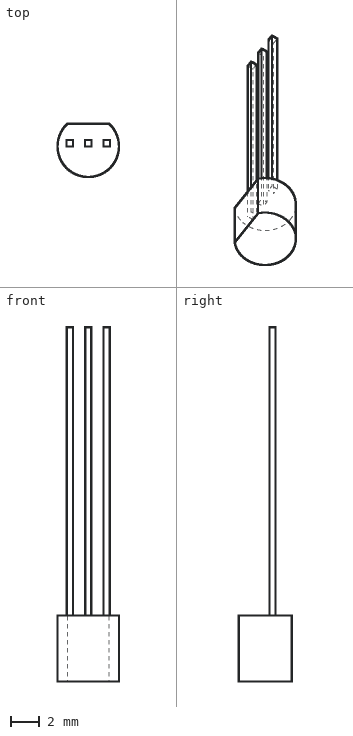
import cadquery as cq

total_height = 24.58
body_height = 4.6
body_radius = 2.15
body_depth = 3.7
lead_width = 0.45
lead_pitch = 1.28
lead_count = 3
lead_offset_y = 0.22

flat_y = body_depth - body_radius
lead_length = total_height - body_height


def make_body():
    """Round package body with a flat on its +Y side."""
    cylinder = cq.Workplane("XY").circle(body_radius).extrude(body_height)
    beyond_flat = (
        cq.Workplane("XY")
        .center(0, flat_y + body_radius / 2)
        .rect(2 * body_radius, body_radius)
        .extrude(body_height)
    )
    return cylinder.cut(beyond_flat)


def make_leads():
    """Row of square leads rising from the top of the body."""
    return (
        cq.Workplane("XY", origin=(0, lead_offset_y, body_height))
        .rarray(lead_pitch, 0.25, lead_count, 1)
        .rect(lead_width, lead_width)
        .extrude(lead_length)
    )


result = make_body().union(make_leads())